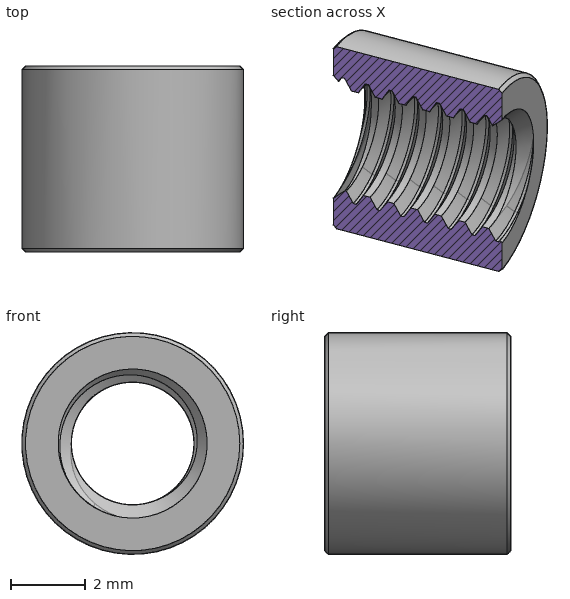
import cadquery as cq
import math

OUTER_DIAMETER = 5.95
LENGTH = 5.0
RIM_CHAMFER = 0.1

BORE_RADIUS = 1.64
COUNTERSINK_RADIUS = 2.0

ROOT_RADIUS = 1.995
PITCH = 0.7
FLANK_ANGLE = 30.0
ROOT_FLAT = PITCH / 8
START_ANGLE = 122.0
BORE_OVERLAP = 0.06


def bushing_blank():
    """Chamfered cylinder with a bore countersunk on both ends."""
    body = cq.Workplane("XY").circle(OUTER_DIAMETER / 2).extrude(LENGTH)
    body = body.faces("<Z or >Z").edges().chamfer(RIM_CHAMFER)
    sink_depth = COUNTERSINK_RADIUS - BORE_RADIUS
    bore = (
        cq.Workplane("XZ")
        .moveTo(0, 0)
        .lineTo(COUNTERSINK_RADIUS, 0)
        .lineTo(BORE_RADIUS, sink_depth)
        .lineTo(BORE_RADIUS, LENGTH - sink_depth)
        .lineTo(COUNTERSINK_RADIUS, LENGTH)
        .lineTo(0, LENGTH)
        .close()
        .revolve(360, (0, 0, 0), (0, 1, 0))
    )
    return body.cut(bore)


def groove_turn():
    """One turn of the trapezoidal thread groove, starting centred on Z = 0."""
    inner_radius = BORE_RADIUS - BORE_OVERLAP
    flank_rise = (ROOT_RADIUS - inner_radius) * math.tan(math.radians(FLANK_ANGLE))
    half_root = ROOT_FLAT / 2
    half_mouth = half_root + flank_rise
    profile = (
        cq.Workplane("XZ")
        .moveTo(inner_radius, -half_mouth)
        .lineTo(ROOT_RADIUS, -half_root)
        .lineTo(ROOT_RADIUS, half_root)
        .lineTo(inner_radius, half_mouth)
        .close()
    )
    helix = cq.Workplane(obj=cq.Wire.makeHelix(PITCH, PITCH, ROOT_RADIUS))
    groove = profile.sweep(helix, isFrenet=True)
    return groove.rotate((0, 0, 0), (0, 0, 1), START_ANGLE)


def cut_thread(body):
    """Cut the thread turn by turn, running out through both end faces."""
    turn = groove_turn()
    for index in range(-1, math.ceil(LENGTH / PITCH)):
        body = body.cut(turn.translate((0, 0, index * PITCH)))
    return body


result = (
    cut_thread(bushing_blank())
    .rotate((0, 0, 0), (1, 0, 0), -90)
    .translate((0, -LENGTH / 2, 0))
)